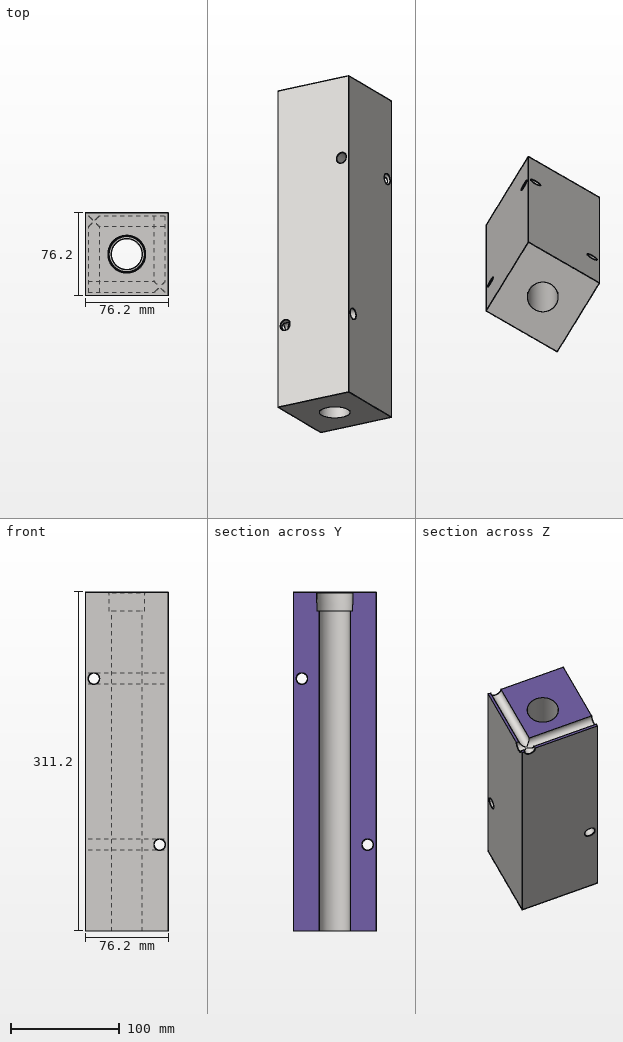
import cadquery as cq

SIDE = 76.2
LENGTH = 311.15
EDGE_CHAMFER = 0.254

BORE_DIAMETER = 28.2
PORT_DIAMETER = 33.0
PORT_DEPTH = 17.3
PORT_TAPER = 1 / 24
MOUTH_DIAMETER = 34.8

CROSS_HOLE_DIAMETER = 10.05
CROSS_HOLE_CHAMFER = 0.35
CROSS_HOLE_INSET = 7.9375
CROSS_HOLE_SPACING = 152.4

HALF_SIDE = SIDE / 2
HALF_LENGTH = LENGTH / 2
CROSS_HOLE_OFFSET = HALF_SIDE - CROSS_HOLE_INSET


def make_bar():
    return cq.Workplane("XY").box(SIDE, SIDE, LENGTH).edges().chamfer(EDGE_CHAMFER)


def axial_bore():
    """Revolved cutter: plain bore, flat ledge, tapered port and 45 degree mouth chamfer."""
    bore_radius = BORE_DIAMETER / 2
    port_radius = PORT_DIAMETER / 2
    mouth_radius = MOUTH_DIAMETER / 2
    mouth_depth = mouth_radius - port_radius
    ledge_radius = port_radius - (PORT_DEPTH - mouth_depth) * PORT_TAPER / 2
    ledge_z = HALF_LENGTH - PORT_DEPTH
    profile = [
        (0, -HALF_LENGTH),
        (bore_radius, -HALF_LENGTH),
        (bore_radius, ledge_z),
        (ledge_radius, ledge_z),
        (port_radius, HALF_LENGTH - mouth_depth),
        (mouth_radius, HALF_LENGTH),
        (0, HALF_LENGTH),
    ]
    return cq.Workplane("XZ").polyline(profile).close().revolve(360, (0, 0, 0), (0, 1, 0))


def cross_hole(x, z):
    """Through-hole cutter along Y, flared at both ends to chamfer the rims."""
    radius = CROSS_HOLE_DIAMETER / 2
    rim_radius = radius + CROSS_HOLE_CHAMFER
    straight_end = HALF_SIDE - CROSS_HOLE_CHAMFER
    profile = [
        (0, -HALF_SIDE),
        (rim_radius, -HALF_SIDE),
        (radius, -straight_end),
        (radius, straight_end),
        (rim_radius, HALF_SIDE),
        (0, HALF_SIDE),
    ]
    cutter = cq.Workplane("XY").polyline(profile).close().revolve(360, (0, 0, 0), (0, 1, 0))
    return cutter.translate((x, 0, z))


def cut_cross_holes(body):
    """Diagonal pairs of holes: one pair along Y and the same pair turned to run along X."""
    for side in (-1, 1):
        along_y = cross_hole(side * CROSS_HOLE_OFFSET, -side * CROSS_HOLE_SPACING / 2)
        along_x = along_y.rotate((0, 0, 0), (0, 0, 1), -90)
        body = body.cut(along_y).cut(along_x)
    return body


result = cut_cross_holes(make_bar().cut(axial_bore()))